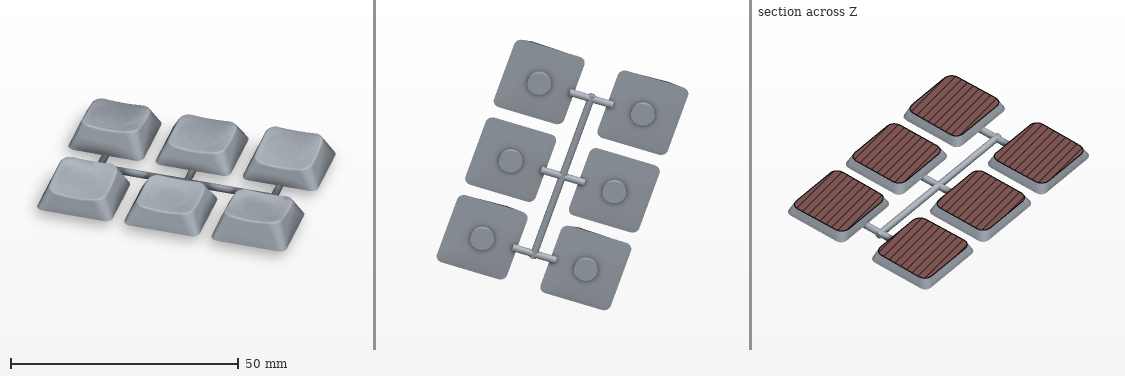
import cadquery as cq

column_pitch = 20.0
row_pitch = 24.0

cap_length = 17.3
cap_width = 16.3
base_corner_radius = 1.6

crown_length = 12.85
crown_width = 12.6
crown_corner_radius = 2.5
flat_crown_height = 4.65
tilted_crown_height = 5.2
crown_tilt = 6.0
tilted_crown_shift = 0.5
dish_radius = 30.95
dish_depth = 1.15
rim_fillet = 0.5

stem_diameter = 5.3
stem_length = 1.05

bar_diameter = 1.6
bar_axis_height = -0.6
cross_bar_length = 10.0
spine_length = 41.85


def rounded_outline(length, width, corner_radius):
    """Rounded-rectangle sketch centred on its own origin."""
    return cq.Sketch().rect(length, width).vertices().fillet(corner_radius)


def keycap(crown_height, tilt, shift):
    """Solid keycap with its base at Z = 0; a positive tilt lowers the -Y edge of its top."""
    crown = cq.Plane(origin=(0, shift, crown_height)).rotated((tilt, 0, 0))
    base_outline = rounded_outline(cap_length, cap_width, base_corner_radius)
    crown_outline = rounded_outline(crown_length, crown_width, crown_corner_radius)
    body = cq.Workplane().placeSketch(base_outline, crown_outline.moved(crown.location)).loft(ruled=True)

    ball = cq.Workplane(crown).workplane(offset=dish_radius - dish_depth).sphere(dish_radius)
    dished = body.cut(ball)
    rim = dished.faces(cq.selectors.NearestToPointSelector((0, shift, crown_height - dish_depth))).edges()
    cap = dished.newObject(rim.vals()).fillet(rim_fillet)

    stem = cq.Workplane().circle(stem_diameter / 2).extrude(-stem_length)
    return cap.union(stem)


def bar(normal, length, x=0):
    """Round bar centred at (x, 0) and running along the named plane's normal."""
    plane = cq.Plane.named(normal, origin=(x, 0, bar_axis_height))
    return cq.Workplane(plane).circle(bar_diameter / 2).extrude(length / 2, both=True)


flat_cap = keycap(flat_crown_height, 0, 0)
front_leaning_cap = keycap(tilted_crown_height, crown_tilt, -tilted_crown_shift)
back_leaning_cap = front_leaning_cap.mirror("XZ")

columns = [
    (front_leaning_cap, back_leaning_cap),
    (flat_cap, flat_cap),
    (back_leaning_cap, front_leaning_cap),
]

middle_column = 1

result = bar("YZ", spine_length)
for index, (front_cap, back_cap) in enumerate(columns):
    x = (index - middle_column) * column_pitch
    result = result.union(bar("XZ", cross_bar_length, x))
    result = result.union(front_cap.translate((x, -row_pitch / 2, 0)))
    result = result.union(back_cap.translate((x, row_pitch / 2, 0)))